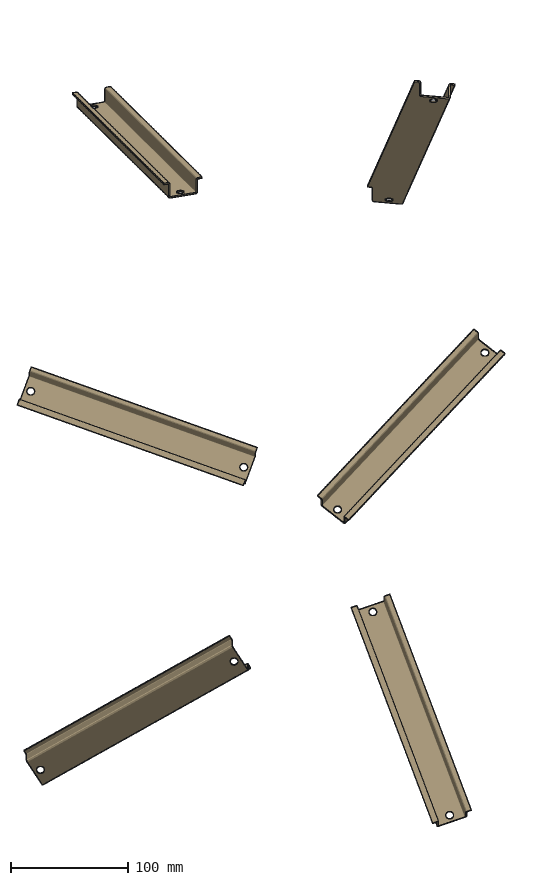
import cadquery as cq

length = 205.0
width = 35.0
height = 15.0

thickness = 1.5
channel_width = 27.0
inner_bend_radius = 0.6
outer_bend_radius = inner_bend_radius + thickness

pick_margin = 0.2

hole_diameter = 6.5
hole_end_distance = 6.0


def box_section(section_width, bottom, top):
    """Full-length block centred on Y, between two heights."""
    return (
        cq.Workplane("XY")
        .box(length, section_width, top - bottom, centered=(True, True, False))
        .translate((0, 0, bottom))
    )


def hat_body(body_width, bottom, top, flange_bottom, foot_radius, shoulder_radius):
    """Solid hat shape: a central block with rounded feet, widening into a flange block."""
    block = box_section(body_width, bottom, top)
    flange = box_section(width, flange_bottom, top)
    hat = block.union(flange)
    hat = hat.edges("|X").edges("<Z").fillet(foot_radius)
    shoulder = cq.selectors.BoxSelector(
        (-length, -body_width / 2 - pick_margin, flange_bottom - pick_margin),
        (length, body_width / 2 + pick_margin, flange_bottom + pick_margin),
    )
    return hat.edges("|X").edges(shoulder).fillet(shoulder_radius)


outer_hat = hat_body(
    channel_width, 0, height + thickness, height - thickness, outer_bend_radius, inner_bend_radius
)
inner_hat = hat_body(
    channel_width - 2 * thickness, thickness, height + 2 * thickness, height,
    inner_bend_radius, outer_bend_radius,
)
rail = outer_hat.cut(inner_hat)

hole_spacing = length - 2 * hole_end_distance
holes = (
    cq.Workplane("XY")
    .rarray(hole_spacing, 2, 2, 1)
    .circle(hole_diameter / 2)
    .extrude(height)
)

result = rail.cut(holes)